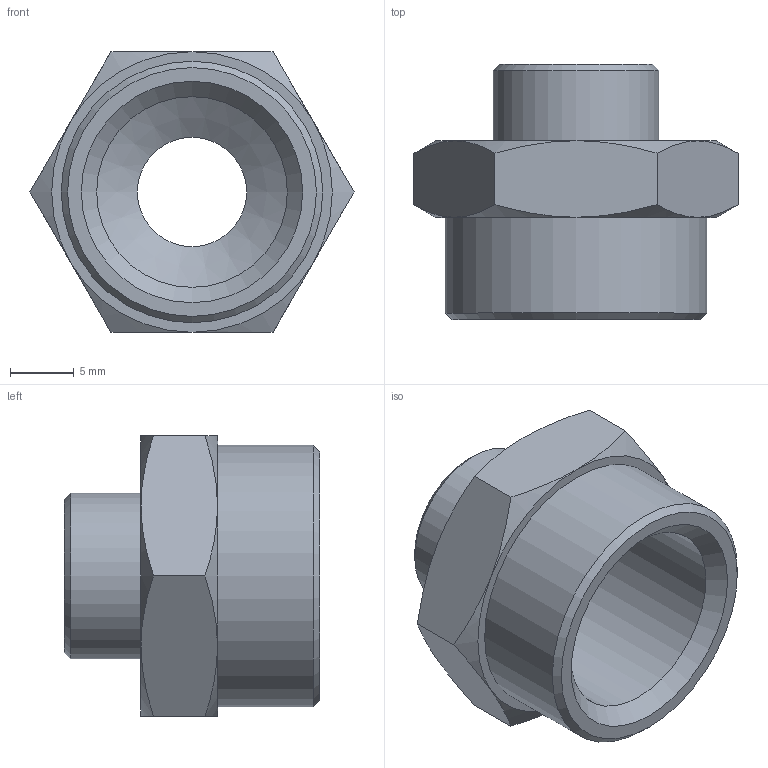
import cadquery as cq
import math

HEX_ACROSS_FLATS = 22.0
HEX_LENGTH = 6.0
HEX_CHAMFER_ANGLE = 30.0
CONE_OVERRUN = 1.0

SOCKET_DIAMETER = 20.5
SOCKET_LENGTH = 8.0
SPIGOT_DIAMETER = 13.0
SPIGOT_LENGTH = 6.0
END_CHAMFER = 0.5

BORE_DIAMETER = 14.95
BORE_DEPTH = 12.0
BORE_MOUTH_DEPTH = 1.2
BORE_MOUTH_DIAMETER = BORE_DIAMETER + 2 * BORE_MOUTH_DEPTH
DRILL_POINT_ANGLE = 118.0
PASSAGE_DIAMETER = 8.57

SOCKET_END = 0.0
HEX_START = SOCKET_END + SOCKET_LENGTH
HEX_END = HEX_START + HEX_LENGTH
SPIGOT_END = HEX_END + SPIGOT_LENGTH

HEX_ACROSS_CORNERS = HEX_ACROSS_FLATS / math.cos(math.radians(30))


def revolve_about_y(profile):
    """Solid of revolution from (radius, y) points, closed along the Y axis."""
    return cq.Workplane("XY").polyline(profile).close().revolve(360, (0, 0, 0), (0, 1, 0))


def make_hexagon():
    """Hexagonal collar with corners on the X axis, both ends turned down conically."""
    prism = (
        cq.Workplane("XZ", origin=(0, HEX_END, 0))
        .polygon(6, HEX_ACROSS_CORNERS)
        .extrude(HEX_LENGTH)
    )
    face_radius = HEX_ACROSS_FLATS / 2
    corner_radius = HEX_ACROSS_CORNERS / 2
    cone_radius = corner_radius + CONE_OVERRUN
    cone_drop = (cone_radius - face_radius) * math.tan(math.radians(HEX_CHAMFER_ANGLE))
    envelope = revolve_about_y([
        (0, HEX_START),
        (face_radius, HEX_START),
        (cone_radius, HEX_START + cone_drop),
        (cone_radius, HEX_END - cone_drop),
        (face_radius, HEX_END),
        (0, HEX_END),
    ])
    return prism.intersect(envelope)


def make_turned_body():
    """Socket and spigot cylinders with chamfered outer ends."""
    socket_radius = SOCKET_DIAMETER / 2
    spigot_radius = SPIGOT_DIAMETER / 2
    return revolve_about_y([
        (0, SOCKET_END),
        (socket_radius - END_CHAMFER, SOCKET_END),
        (socket_radius, SOCKET_END + END_CHAMFER),
        (socket_radius, HEX_START),
        (spigot_radius, HEX_END),
        (spigot_radius, SPIGOT_END - END_CHAMFER),
        (spigot_radius - END_CHAMFER, SPIGOT_END),
        (0, SPIGOT_END),
    ])


def make_bore():
    """Stepped bore: flared mouth, straight wall, conical bottom and through passage."""
    bore_radius = BORE_DIAMETER / 2
    passage_radius = PASSAGE_DIAMETER / 2
    cone_length = (bore_radius - passage_radius) / math.tan(math.radians(DRILL_POINT_ANGLE / 2))
    return revolve_about_y([
        (0, SOCKET_END),
        (BORE_MOUTH_DIAMETER / 2, SOCKET_END),
        (bore_radius, SOCKET_END + BORE_MOUTH_DEPTH),
        (bore_radius, SOCKET_END + BORE_DEPTH),
        (passage_radius, SOCKET_END + BORE_DEPTH + cone_length),
        (passage_radius, SPIGOT_END),
        (0, SPIGOT_END),
    ])


result = make_turned_body().union(make_hexagon()).cut(make_bore())